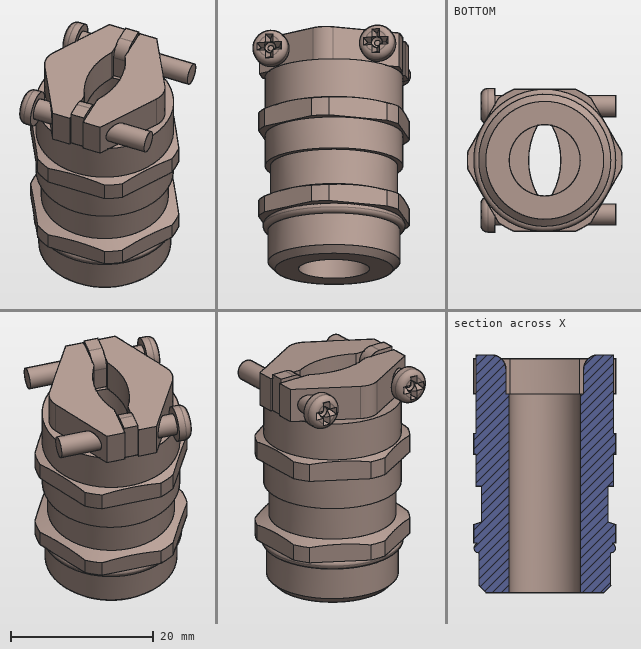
import cadquery as cq
import math

ENTRY_CHAMFER = 1.0
LOWER_NUT_BOTTOM = 7.0
NECK_BOTTOM = 10.0
SLEEVE_BOTTOM = 15.0
UPPER_NUT_BOTTOM = 19.5
SLEEVE_TOP = 28.0
CLAMP_HEIGHT = 4.95

BORE_RADIUS = 5.0
ENTRY_RADIUS = 9.3
NECK_RADIUS = 8.95
SLEEVE_RADIUS = 9.7
O_RING_SECTION_RADIUS = 0.7

NUT_SIDES = 6
ACROSS_FLATS = 20.0
NUT_CORNER_RADIUS = 10.9
NUT_HEIGHT = 3.0
NUT_BEVEL_ANGLE = 19.0
LOWER_NUT_FACE_RADIUS = NECK_RADIUS
UPPER_NUT_FACE_RADIUS = SLEEVE_RADIUS

CLAMP_HALF_DEPTH = ACROSS_FLATS / 2
CLAMP_END_HALF_WIDTH = 3.65
CLAMP_SIDE_ANGLE = 60.0
CLAMP_CORNER_RADIUS = 2.9
SLOT_WIDTH = 2.0
LENS_HALF_WIDTH = 2.25

SCREW_OFFSET = 7.625
SCREW_LEVEL = 30.5
SHANK_RADIUS = 1.5
SCREW_TIP_X = 10.0
HEAD_RADIUS = 2.5
HEAD_FACE_X = -9.0
HEAD_THICKNESS = 2.0
HEAD_ROUNDING = 1.0
TAB_TOP = 33.5
TAB_INNER_Y = 5.45
TAB_ROUNDING = 2.05

RECESS_HALF_LENGTH = 1.75
RECESS_HALF_WIDTH = 0.55
RECESS_END_INSET = 0.45
RECESS_DEPTH = 1.0
RECESS_CENTRE_DEPTH = 1.3
RECESS_CENTRE_RADIUS = 0.78
RECESS_FLOOR_RADIUS = 0.4


def cylinder(radius, bottom, top):
    return cq.Workplane("XY").workplane(offset=bottom).circle(radius).extrude(top - bottom)


def make_nut(bottom, face_radius):
    """Hexagon with flats facing +/-Y, corners turned round and top edge bevelled."""
    top = bottom + NUT_HEIGHT
    hexagon = (
        cq.Workplane("XY")
        .workplane(offset=bottom)
        .polygon(NUT_SIDES, ACROSS_FLATS / math.cos(math.pi / NUT_SIDES))
        .extrude(NUT_HEIGHT)
    )
    drop = (NUT_CORNER_RADIUS - face_radius) * math.tan(math.radians(NUT_BEVEL_ANGLE))
    turned_blank = (
        cq.Workplane("XZ")
        .moveTo(0, bottom)
        .lineTo(NUT_CORNER_RADIUS, bottom)
        .lineTo(NUT_CORNER_RADIUS, top - drop)
        .lineTo(face_radius, top)
        .lineTo(0, top)
        .close()
        .revolve(360, (0, 0, 0), (0, 1, 0))
    )
    return hexagon.intersect(turned_blank)


def make_o_ring():
    """Seal ring seated directly under the lower nut."""
    level = LOWER_NUT_BOTTOM - O_RING_SECTION_RADIUS
    return (
        cq.Workplane("XZ")
        .center(ENTRY_RADIUS, level)
        .circle(O_RING_SECTION_RADIUS)
        .revolve(360, (-ENTRY_RADIUS, 0, 0), (-ENTRY_RADIUS, 1, 0))
    )


def make_body():
    entry = cylinder(ENTRY_RADIUS, 0, LOWER_NUT_BOTTOM).faces("<Z").chamfer(ENTRY_CHAMFER)
    body = (
        entry.union(make_o_ring())
        .union(make_nut(LOWER_NUT_BOTTOM, LOWER_NUT_FACE_RADIUS))
        .union(cylinder(NECK_RADIUS, NECK_BOTTOM, SLEEVE_BOTTOM))
        .union(cylinder(SLEEVE_RADIUS, SLEEVE_BOTTOM, SLEEVE_TOP))
        .union(make_nut(UPPER_NUT_BOTTOM, UPPER_NUT_FACE_RADIUS))
    )
    return body.cut(cylinder(BORE_RADIUS, 0, SLEEVE_TOP))


def make_clamp():
    """Two jaws standing on the sleeve, separated by the slot along Y."""
    apex = CLAMP_END_HALF_WIDTH + CLAMP_HALF_DEPTH / math.tan(math.radians(CLAMP_SIDE_ANGLE))
    outline = [
        (apex, 0),
        (CLAMP_END_HALF_WIDTH, CLAMP_HALF_DEPTH),
        (-CLAMP_END_HALF_WIDTH, CLAMP_HALF_DEPTH),
        (-apex, 0),
        (-CLAMP_END_HALF_WIDTH, -CLAMP_HALF_DEPTH),
        (CLAMP_END_HALF_WIDTH, -CLAMP_HALF_DEPTH),
    ]
    base = cq.Workplane("XY").workplane(offset=SLEEVE_TOP)
    jaws = base.polyline(outline).close().extrude(CLAMP_HEIGHT)
    jaws = jaws.edges("|Z and (<X or >X)").fillet(CLAMP_CORNER_RADIUS)

    slot = base.rect(SLOT_WIDTH, 2 * CLAMP_HALF_DEPTH).extrude(CLAMP_HEIGHT)

    lens_x = SLOT_WIDTH / 2
    lens_y = math.sqrt(BORE_RADIUS**2 - lens_x**2)
    lens = (
        base.moveTo(lens_x, -lens_y)
        .threePointArc((LENS_HALF_WIDTH, 0), (lens_x, lens_y))
        .lineTo(-lens_x, lens_y)
        .threePointArc((-LENS_HALF_WIDTH, 0), (-lens_x, -lens_y))
        .close()
        .extrude(CLAMP_HEIGHT)
    )
    return jaws.cut(slot).cut(lens)


def make_tab():
    """Upright tab filling the slot on the +Y side, its inner top edge rounded."""
    tab_length = SLEEVE_RADIUS - TAB_INNER_Y
    return (
        cq.Workplane("XY")
        .box(SLOT_WIDTH, tab_length, TAB_TOP - SLEEVE_TOP, centered=(True, False, False))
        .edges("|X and >Z and <Y")
        .fillet(TAB_ROUNDING)
        .translate((0, TAB_INNER_Y, SLEEVE_TOP))
    )


def make_recess():
    """Cross recess opening at x = 0 and going in along +X, deepest at its round centre."""
    wedge = (
        cq.Workplane("XY")
        .polyline([(0, -RECESS_HALF_WIDTH), (RECESS_DEPTH, 0), (0, RECESS_HALF_WIDTH)])
        .close()
        .extrude(RECESS_HALF_LENGTH, both=True)
    )
    floor_half_length = RECESS_HALF_LENGTH - RECESS_END_INSET
    sloped_ends = (
        cq.Workplane("XZ")
        .moveTo(0, -RECESS_HALF_LENGTH)
        .lineTo(RECESS_DEPTH, -floor_half_length)
        .lineTo(RECESS_DEPTH, floor_half_length)
        .lineTo(0, RECESS_HALF_LENGTH)
        .close()
        .extrude(RECESS_HALF_WIDTH, both=True)
    )
    wing = wedge.intersect(sloped_ends)
    centre = (
        cq.Workplane("XY")
        .lineTo(0, RECESS_CENTRE_RADIUS)
        .lineTo(RECESS_DEPTH, RECESS_CENTRE_RADIUS)
        .lineTo(RECESS_CENTRE_DEPTH, RECESS_FLOOR_RADIUS)
        .lineTo(RECESS_CENTRE_DEPTH, 0)
        .close()
        .revolve(360, (0, 0, 0), (1, 0, 0))
    )
    return centre.union(wing).union(wing.rotate((0, 0, 0), (1, 0, 0), 90))


def make_screw():
    """Pan-head screw along X, with its axis on the X axis."""
    head = (
        cq.Workplane("YZ")
        .workplane(offset=HEAD_FACE_X)
        .circle(HEAD_RADIUS)
        .extrude(HEAD_THICKNESS)
        .faces("<X")
        .edges()
        .fillet(HEAD_ROUNDING)
    )
    shank_start = HEAD_FACE_X + HEAD_THICKNESS
    shank = (
        cq.Workplane("YZ")
        .workplane(offset=shank_start)
        .circle(SHANK_RADIUS)
        .extrude(SCREW_TIP_X - shank_start)
    )
    return head.union(shank).cut(make_recess().translate((HEAD_FACE_X, 0, 0)))


result = make_body().union(make_clamp())
tab = make_tab()
screw = make_screw()
for side in (1, -1):
    side_tab = tab if side > 0 else tab.mirror("XZ")
    result = result.union(side_tab)
    result = result.union(screw.translate((0, side * SCREW_OFFSET, SCREW_LEVEL)))